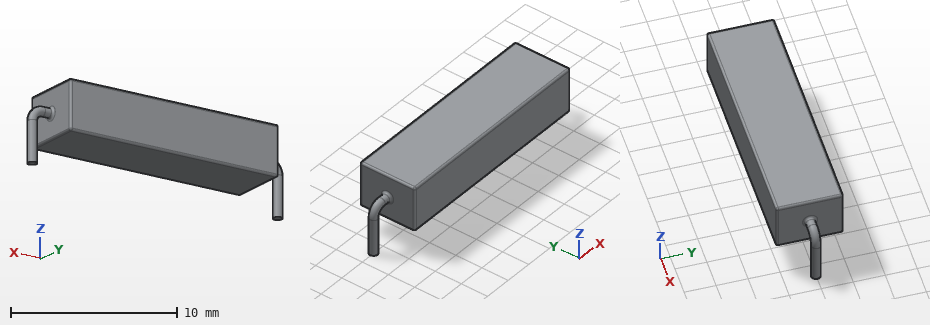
import cadquery as cq

overall_length = 18.38
overall_height = 5.1

body_length = 15.1
body_width = 4.2
body_height = 3.3
edge_radius = 0.15

wire_diameter = 0.6
bend_radius = 0.74
root_fillet = 0.17

wire_radius = wire_diameter / 2
body_end = body_length / 2
leg_x = overall_length / 2 - wire_radius
leg_bottom = body_height / 2 - overall_height
bend_start_x = leg_x - bend_radius
embed_depth = 0.37


def make_body():
    """Rectangular block with every edge rounded."""
    return cq.Workplane("XY").box(body_length, body_width, body_height).edges().fillet(edge_radius)


def make_lead():
    """Round wire on the +X end: straight out, quarter bend, straight down."""
    start_x = body_end - embed_depth
    path = (
        cq.Workplane("XZ")
        .moveTo(start_x, 0)
        .lineTo(bend_start_x, 0)
        .radiusArc((leg_x, -bend_radius), bend_radius)
        .lineTo(leg_x, leg_bottom)
    )
    return cq.Workplane("YZ", origin=(start_x, 0, 0)).circle(wire_radius).sweep(path)


def make_root_flare():
    """Concave flare blending the wire into the +X end face."""
    flare_end = body_end + root_fillet
    flare_radius = wire_radius + root_fillet
    arc_middle_offset = root_fillet * (1 - 0.5**0.5)
    arc_middle = (body_end + arc_middle_offset, wire_radius + arc_middle_offset)
    return (
        cq.Workplane("XY")
        .moveTo(body_end - embed_depth, 0)
        .lineTo(body_end - embed_depth, flare_radius)
        .lineTo(body_end, flare_radius)
        .threePointArc(arc_middle, (flare_end, wire_radius))
        .lineTo(flare_end, 0)
        .close()
        .revolve(360, (0, 0, 0), (1, 0, 0))
    )


right_lead = make_lead().union(make_root_flare())
left_lead = right_lead.mirror("YZ")
result = make_body().union(right_lead).union(left_lead)